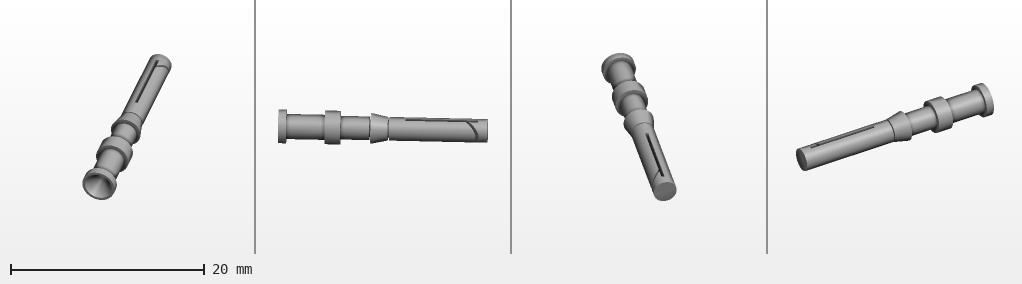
import cadquery as cq
import math

total_length = 21.6
flange_length = 0.82
collar_start = 4.8
collar_end = 6.42
barb_start = 9.53
barb_end = 11.3
groove_width = 0.13

flange_diameter = 3.48
rear_shaft_diameter = 2.6
shaft_diameter = 2.45
barb_diameter = 3.2
groove_diameter = 1.84

entry_diameter = 2.94
entry_depth = 1.73
bore_diameter = 0.85
bore_end = 4.32
drill_point_angle = 118.0

slot_width = 0.32
slot_start = 13.11
slot_end = 20.58
branch_width = 0.24
branch_angle = 45.0
branch_root = 19.35


def ring(start, end, diameter, end_diameter=None):
    """Solid of revolution about Y, tapered when an end diameter is given."""
    end_radius = (end_diameter or diameter) / 2
    profile = [(0, start), (diameter / 2, start), (end_radius, end), (0, end)]
    return cq.Workplane("XY").polyline(profile).close().revolve(360, (0, 0, 0), (0, 1, 0))


def make_body():
    """Stepped pin with the groove floors on either side of the barb."""
    lower_groove_start = barb_start - groove_width
    upper_groove_end = barb_end + groove_width
    return (
        ring(0, flange_length, flange_diameter)
        .union(ring(flange_length, collar_start, rear_shaft_diameter))
        .union(ring(collar_start, collar_end, flange_diameter))
        .union(ring(collar_end, lower_groove_start, shaft_diameter))
        .union(ring(lower_groove_start, upper_groove_end, groove_diameter))
        .union(ring(barb_start, barb_end, barb_diameter, shaft_diameter))
        .union(ring(upper_groove_end, total_length, shaft_diameter))
    )


def make_bore():
    """Flared entry leading into a blind bore with a conical bottom."""
    bore_radius = bore_diameter / 2
    point_length = bore_radius / math.tan(math.radians(drill_point_angle / 2))
    profile = [
        (0, 0),
        (entry_diameter / 2, 0),
        (bore_radius, entry_depth),
        (bore_radius, bore_end),
        (0, bore_end + point_length),
    ]
    return cq.Workplane("XY").polyline(profile).close().revolve(360, (0, 0, 0), (0, 1, 0))


def make_slots():
    """Long axial slot and the oblique branch from it to the +X side."""
    slot_length = slot_end - slot_start
    slot = cq.Workplane("XY").box(slot_width, slot_length, flange_diameter)
    slot = slot.translate((0, (slot_start + slot_end) / 2, 0))
    branch = cq.Workplane("XY").box(
        flange_diameter, branch_width, flange_diameter, centered=(False, True, True)
    )
    branch = branch.rotate((0, 0, 0), (0, 0, 1), branch_angle).translate((0, branch_root, 0))
    return slot.union(branch)


result = make_body().cut(make_bore()).cut(make_slots())